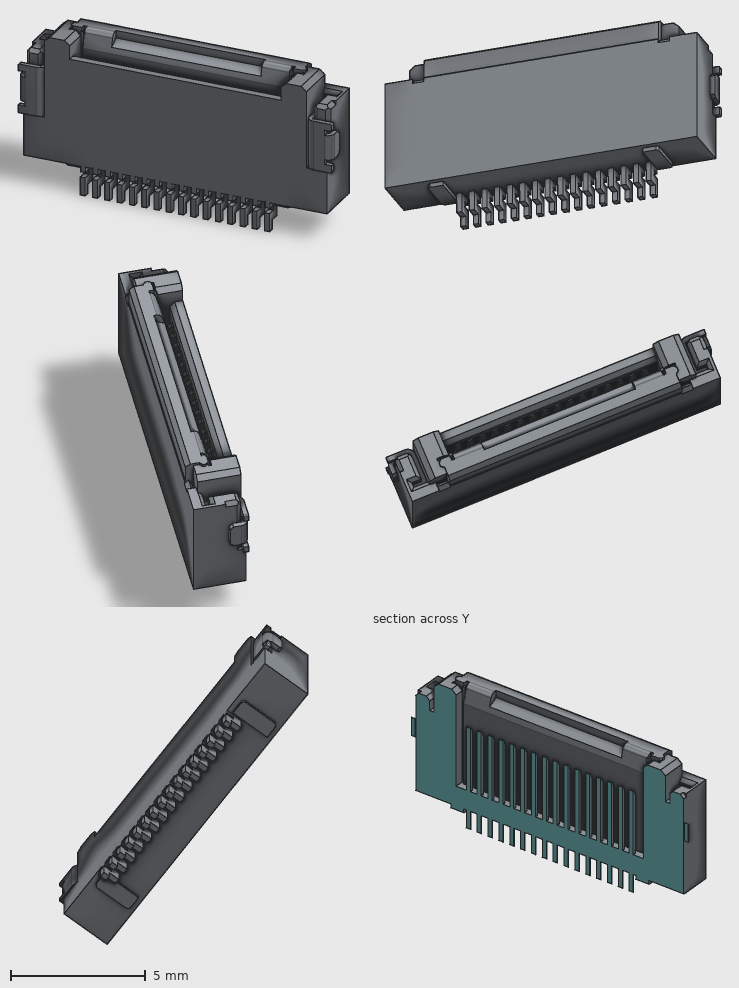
import cadquery as cq

HOUSING_HALF_WIDTH = 6.17
HOUSING_DEPTH = 2.0
HOUSING_BOTTOM = 1.16
HOUSING_TOP = 5.46

MOUNT_Y = -0.05

TOWER_INNER_X = 4.3
TOWER_OUTER_X = 5.33
TOWER_DEPTH = 1.66
TOWER_TOP = 6.18
TOWER_CHAMFER_X = 0.22
TOWER_CHAMFER_Z = 0.18

FRONT_WALL = 0.5
FRONT_WALL_BEVEL = 0.19
SLOT_REAR_Y = 0.9
SLOT_FLOOR = 2.04
FLANGE_INNER_X = 4.18
FLANGE_FRONT_Y = 1.0

REAR_TOP = 6.29
REAR_WALL_BACK_Y = 1.96
REAR_WALL_HALF_WIDTH = 4.64
REAR_WALL_HOOK_X = 4.77
REAR_HOOK_FRONT_Y = 1.1
REAR_HOOK_BACK_Y = 1.43
REAR_HOOK_CHAMFER = 0.1
REAR_CHAMFER_Y = 0.19
REAR_CHAMFER_Z = 0.13
LIP_BACK_Y = 1.28
LIP_FRONT_Y = 1.07
LIP_ROUND_BOTTOM = 6.11
LIP_FOOT_Z = 5.53
TOWER_GAP_DEPTH = 0.19
RECESS_HALF_WIDTH = 3.03
RECESS_BACK_Y = 1.38
RECESS_KNEE_Z = 5.98
RECESS_FRONT_Y = 0.95
RECESS_FOOT_Z = 5.76

HOLLOW_OUTER_X = 5.09
HOLLOW_BACK_Y = 1.84
HOLLOW_DEPTH = 0.38
HOLLOW_STEP_Y = 1.72
HOLLOW_STEP_DEPTH = 0.19

SHEET = 0.19
CLIP_BOTTOM = 2.88
CLIP_TOP = 4.88
CLIP_TIP_X = 6.38
CLIP_HOOK_X = 5.9
CLIP_HOOK_BACK_Y = 1.49
CLIP_HOOK_FRONT_Y = CLIP_HOOK_BACK_Y - SHEET
CLIP_WEB_X = TOWER_OUTER_X + SHEET
CLIP_BEND_RADIUS = 0.3
CLIP_HOOK_RADIUS = 0.15
CLIP_TIP_RADIUS = 0.06
RELIEF_X = 6.1
RELIEF_BOTTOM = 3.2
RELIEF_TOP = 4.6
TAB_BOTTOM = 3.38
TAB_TOP = 4.39
TAB_END_Y = 0.65
TAB_CORNER = 0.13

POST_FRONT_Y = 0.19
POST_CHAMFER = 0.15
POST_SIDE_CHAMFER_END_Y = 0.78

CONTACT_COUNT = 16
CONTACT_ROW_LENGTH = 7.5
CONTACT_PITCH = CONTACT_ROW_LENGTH / (CONTACT_COUNT - 1)
CONTACT_WIDTH = 0.2
CONTACT_BACK_Y = 0.64
TAIL_END_DEPTH = 0.25
TAIL_NOTCH_Y = 0.29
TAIL_NOTCH_BOTTOM = 0.74
TAIL_NOTCH_TOP = 0.93
TAIL_STEP_Z = 0.38
BEAM_BACK_Y = 0.74
BEAM_TIP_Y = 0.56
BEAM_TOP = 4.85
BEAM_BEVEL = 0.1
BEAM_LEAD = 0.13
BEAM_LEAD_Y = 0.69

FOOT_INNER_X = 3.95
FOOT_OUTER_X = 4.56
FOOT_FRONT_Y = 0.2
FOOT_BACK_Y = 1.78
FOOT_HEIGHT = 0.17
FOOT_CHAMFER = 0.09


def box(x0, x1, y0, y1, z0, z1):
    """Box given by its limits along each axis."""
    return cq.Workplane("XY").box(x1 - x0, y1 - y0, z1 - z0, centered=False).translate((x0, y0, z0))


def prism_x(points, x0, x1):
    """Prism along X from (y, z) points."""
    return cq.Workplane("YZ").polyline(points).close().extrude(x1 - x0).translate((x0, 0, 0))


def prism_y(points, y0, y1):
    """Prism along Y from (x, z) points."""
    return cq.Workplane("XZ").polyline(points).close().extrude(y0 - y1).translate((0, y0, 0))


def prism_z(points, z0, z1):
    """Prism along Z from (x, y) points."""
    return cq.Workplane("XY").polyline(points).close().extrude(z1 - z0).translate((0, 0, z0))


def both_ends(shape):
    """The +X shape together with its mirror image at -X."""
    return shape.union(shape.mirror("YZ"))


def tower():
    """End tower with both upper edges chamfered."""
    chamfer_z = TOWER_TOP - TOWER_CHAMFER_Z
    return prism_y(
        [
            (TOWER_INNER_X, HOUSING_BOTTOM),
            (TOWER_OUTER_X, HOUSING_BOTTOM),
            (TOWER_OUTER_X, chamfer_z),
            (TOWER_OUTER_X - TOWER_CHAMFER_X, TOWER_TOP),
            (TOWER_INNER_X + TOWER_CHAMFER_X, TOWER_TOP),
            (TOWER_INNER_X, chamfer_z),
        ],
        0,
        TOWER_DEPTH,
    )


def slot_flange():
    """Thin flange that closes the slot between the lip and the tower."""
    return box(FLANGE_INNER_X, TOWER_INNER_X, FLANGE_FRONT_Y, REAR_HOOK_FRONT_Y, HOUSING_BOTTOM, TOWER_TOP)


def tower_gap():
    """Narrow gap between the tower and the hooked end of the rear wall."""
    return box(
        TOWER_INNER_X,
        REAR_WALL_HOOK_X,
        FLANGE_FRONT_Y,
        REAR_HOOK_FRONT_Y,
        TOWER_TOP - TOWER_GAP_DEPTH,
        REAR_TOP,
    )


def rear_wall():
    """Raised wall behind the slot, with hooked ends, a rounded lip and a lead-in recess."""
    half_plan = [
        (0, REAR_WALL_BACK_Y),
        (REAR_WALL_HALF_WIDTH, REAR_WALL_BACK_Y),
        (REAR_WALL_HALF_WIDTH, REAR_HOOK_BACK_Y),
        (REAR_WALL_HOOK_X, REAR_HOOK_BACK_Y - REAR_HOOK_CHAMFER),
        (REAR_WALL_HOOK_X, REAR_HOOK_FRONT_Y + REAR_HOOK_CHAMFER),
        (REAR_WALL_HOOK_X - REAR_HOOK_CHAMFER, REAR_HOOK_FRONT_Y),
        (TOWER_INNER_X, REAR_HOOK_FRONT_Y),
        (TOWER_INNER_X, LIP_BACK_Y),
        (0, LIP_BACK_Y),
    ]
    wall = both_ends(prism_z(half_plan, HOUSING_BOTTOM, REAR_TOP))
    back_chamfer = prism_x(
        [
            (REAR_WALL_BACK_Y, REAR_TOP),
            (REAR_WALL_BACK_Y - REAR_CHAMFER_Y, REAR_TOP),
            (REAR_WALL_BACK_Y, REAR_TOP - REAR_CHAMFER_Z),
        ],
        -REAR_WALL_HALF_WIDTH,
        REAR_WALL_HALF_WIDTH,
    )
    lip = (
        cq.Workplane("YZ")
        .moveTo(LIP_BACK_Y, HOUSING_BOTTOM)
        .lineTo(SLOT_REAR_Y, HOUSING_BOTTOM)
        .lineTo(SLOT_REAR_Y, LIP_FOOT_Z)
        .lineTo(LIP_FRONT_Y, LIP_ROUND_BOTTOM)
        .tangentArcPoint((LIP_BACK_Y, REAR_TOP), relative=False)
        .close()
        .extrude(FLANGE_INNER_X, both=True)
    )
    recess = prism_x(
        [
            (RECESS_BACK_Y, REAR_TOP),
            (RECESS_BACK_Y, RECESS_KNEE_Z),
            (RECESS_FRONT_Y, RECESS_FOOT_Z),
            (0, RECESS_FOOT_Z),
            (0, REAR_TOP),
        ],
        -RECESS_HALF_WIDTH,
        RECESS_HALF_WIDTH,
    )
    return wall.cut(back_chamfer).union(lip).cut(recess)


def mating_slot():
    """Slot for the mating cable, with a bevel along the top of the front wall."""
    slot = box(-TOWER_INNER_X, TOWER_INNER_X, FRONT_WALL, SLOT_REAR_Y, SLOT_FLOOR, REAR_TOP)
    slot_end = box(FLANGE_INNER_X, TOWER_INNER_X, FRONT_WALL, FLANGE_FRONT_Y, SLOT_FLOOR, REAR_TOP)
    bevel = prism_x(
        [
            (FRONT_WALL, HOUSING_TOP),
            (FRONT_WALL - FRONT_WALL_BEVEL, HOUSING_TOP),
            (FRONT_WALL, HOUSING_TOP - FRONT_WALL_BEVEL),
        ],
        -TOWER_INNER_X,
        TOWER_INNER_X,
    )
    return slot.union(both_ends(slot_end)).union(bevel)


def rear_hollow():
    """Stepped hollow behind the tower, with a slope falling from its lip to the back of the housing."""
    slope = HOUSING_DEPTH - HOLLOW_BACK_Y
    return prism_x(
        [
            (TOWER_DEPTH, HOUSING_TOP),
            (TOWER_DEPTH, HOUSING_TOP - HOLLOW_DEPTH),
            (HOLLOW_STEP_Y, HOUSING_TOP - HOLLOW_DEPTH),
            (HOLLOW_STEP_Y, HOUSING_TOP - HOLLOW_STEP_DEPTH),
            (HOLLOW_BACK_Y, HOUSING_TOP - HOLLOW_STEP_DEPTH),
            (HOLLOW_BACK_Y, HOUSING_TOP),
            (HOUSING_DEPTH, HOUSING_TOP - slope),
            (HOUSING_DEPTH, REAR_TOP),
            (TOWER_DEPTH, REAR_TOP),
        ],
        REAR_WALL_HALF_WIDTH,
        HOLLOW_OUTER_X,
    )


def clip_channel():
    """Channel for the clip, open to the front and top."""
    plan = [
        (TOWER_OUTER_X, 0),
        (HOUSING_HALF_WIDTH, 0),
        (HOUSING_HALF_WIDTH, POST_FRONT_Y),
        (CLIP_WEB_X, POST_FRONT_Y),
        (CLIP_WEB_X, CLIP_HOOK_FRONT_Y),
        (CLIP_HOOK_X, CLIP_HOOK_FRONT_Y),
        (CLIP_HOOK_X, CLIP_HOOK_BACK_Y),
        (TOWER_OUTER_X, CLIP_HOOK_BACK_Y),
    ]
    return prism_z(plan, CLIP_BOTTOM, HOUSING_TOP)


def channel_entry():
    """Chamfers around the top of the channel and on the front corners of the post."""
    c = POST_CHAMFER
    low = HOUSING_TOP - c
    side_x = HOUSING_HALF_WIDTH
    hook_low = [
        (TOWER_OUTER_X, CLIP_HOOK_FRONT_Y),
        (CLIP_HOOK_X, CLIP_HOOK_FRONT_Y),
        (CLIP_HOOK_X, CLIP_HOOK_BACK_Y),
        (TOWER_OUTER_X, CLIP_HOOK_BACK_Y),
    ]
    hook_high = [
        (TOWER_OUTER_X, CLIP_HOOK_FRONT_Y - c),
        (CLIP_HOOK_X + c, CLIP_HOOK_FRONT_Y - c),
        (CLIP_HOOK_X + c, CLIP_HOOK_BACK_Y + c),
        (TOWER_OUTER_X, CLIP_HOOK_BACK_Y + c),
    ]
    hook_entry = (
        cq.Workplane("XY", origin=(0, 0, low))
        .polyline(hook_low)
        .close()
        .workplane(offset=c)
        .polyline(hook_high)
        .close()
        .loft(ruled=True)
    )
    web_profile = [(CLIP_WEB_X, low), (CLIP_WEB_X + c, HOUSING_TOP), (CLIP_WEB_X, HOUSING_TOP)]
    front_profile = [(POST_FRONT_Y, low), (POST_FRONT_Y + c, HOUSING_TOP), (POST_FRONT_Y, HOUSING_TOP)]
    side_profile = [(side_x, low), (side_x - c, HOUSING_TOP), (side_x, HOUSING_TOP)]
    web_entry = prism_y(web_profile, 0, CLIP_HOOK_FRONT_Y)
    front_entry = prism_x(front_profile, CLIP_WEB_X, side_x)
    side_entry = prism_y(side_profile, 0, POST_SIDE_CHAMFER_END_Y)
    entry = hook_entry.union(web_entry).union(front_entry).union(side_entry)
    for corner_x, run in ((CLIP_WEB_X, c), (side_x, -c)):
        corner = [(corner_x, POST_FRONT_Y), (corner_x + run, POST_FRONT_Y), (corner_x, POST_FRONT_Y + c)]
        entry = entry.union(prism_z(corner, CLIP_BOTTOM, HOUSING_TOP))
    return entry


def clip():
    """Folded sheet clip: rear hook, web along the tower, front plate and a tab bent back along the side."""
    plate_back_y = MOUNT_Y + SHEET
    strip = prism_z(
        [
            (CLIP_HOOK_X, CLIP_HOOK_BACK_Y),
            (TOWER_OUTER_X, CLIP_HOOK_BACK_Y),
            (TOWER_OUTER_X, MOUNT_Y),
            (CLIP_TIP_X, MOUNT_Y),
            (CLIP_TIP_X, plate_back_y),
            (CLIP_WEB_X, plate_back_y),
            (CLIP_WEB_X, CLIP_HOOK_FRONT_Y),
            (CLIP_HOOK_X, CLIP_HOOK_FRONT_Y),
        ],
        CLIP_BOTTOM,
        CLIP_TOP,
    )
    strip = strip.faces("<X").edges("|Z and <Y").fillet(CLIP_BEND_RADIUS)
    strip = strip.faces("<X").edges("|Z and >Y").fillet(CLIP_HOOK_RADIUS)
    strip = strip.edges("|Y and >X").fillet(CLIP_TIP_RADIUS)
    relief = box(RELIEF_X, CLIP_TIP_X, MOUNT_Y, plate_back_y, RELIEF_BOTTOM, RELIEF_TOP)
    return strip.cut(relief).union(clip_tab())


def clip_tab():
    """Tab that rounds from the front plate back along the side of the housing."""
    radius = CLIP_TIP_X - RELIEF_X
    inner_radius = radius - SHEET
    centre_y = MOUNT_Y + radius
    inner_x = CLIP_TIP_X - SHEET
    tab = (
        cq.Workplane("XY")
        .moveTo(RELIEF_X, MOUNT_Y)
        .radiusArc((CLIP_TIP_X, centre_y), -radius)
        .lineTo(CLIP_TIP_X, TAB_END_Y)
        .lineTo(inner_x, TAB_END_Y)
        .lineTo(inner_x, centre_y)
        .radiusArc((RELIEF_X, centre_y - inner_radius), inner_radius)
        .close()
        .extrude(TAB_TOP - TAB_BOTTOM)
        .translate((0, 0, TAB_BOTTOM))
    )
    return tab.edges("|X and >Y").chamfer(TAB_CORNER)


def contact():
    """One contact centred on x = 0: stepped tail below, beam along the front wall of the slot."""
    half_width = CONTACT_WIDTH / 2
    tail_back_y = MOUNT_Y + TAIL_END_DEPTH
    tail = prism_x(
        [
            (0, HOUSING_BOTTOM),
            (0, TAIL_NOTCH_TOP),
            (TAIL_NOTCH_Y, TAIL_NOTCH_TOP),
            (TAIL_NOTCH_Y, TAIL_NOTCH_BOTTOM),
            (MOUNT_Y, TAIL_NOTCH_BOTTOM),
            (MOUNT_Y, 0),
            (tail_back_y, 0),
            (tail_back_y, TAIL_STEP_Z),
            (CONTACT_BACK_Y, TAIL_STEP_Z),
            (CONTACT_BACK_Y, HOUSING_BOTTOM),
        ],
        -half_width,
        half_width,
    )
    beam = prism_x(
        [
            (FRONT_WALL, SLOT_FLOOR),
            (BEAM_BACK_Y, SLOT_FLOOR),
            (BEAM_BACK_Y, BEAM_TOP - BEAM_LEAD - BEAM_BEVEL),
            (BEAM_LEAD_Y, BEAM_TOP - BEAM_BEVEL),
            (BEAM_TIP_Y, BEAM_TOP),
            (FRONT_WALL, BEAM_TOP),
        ],
        -half_width,
        half_width,
    )
    return tail.union(beam)


def foot():
    """Flat foot under the housing."""
    block = box(
        FOOT_INNER_X, FOOT_OUTER_X, FOOT_FRONT_Y, FOOT_BACK_Y, HOUSING_BOTTOM - FOOT_HEIGHT, HOUSING_BOTTOM
    )
    return block.edges("|Z and >X").chamfer(FOOT_CHAMFER)


housing = box(-HOUSING_HALF_WIDTH, HOUSING_HALF_WIDTH, 0, HOUSING_DEPTH, HOUSING_BOTTOM, HOUSING_TOP)
housing = housing.cut(both_ends(clip_channel().union(channel_entry())))
housing = housing.cut(both_ends(rear_hollow()))
housing = housing.union(both_ends(tower().union(slot_flange()).cut(tower_gap())))
housing = housing.union(rear_wall()).cut(mating_slot())

result = housing.union(both_ends(clip())).union(both_ends(foot()))
first_contact_x = -CONTACT_ROW_LENGTH / 2
for index in range(CONTACT_COUNT):
    result = result.union(contact().translate((first_contact_x + index * CONTACT_PITCH, 0, 0)))